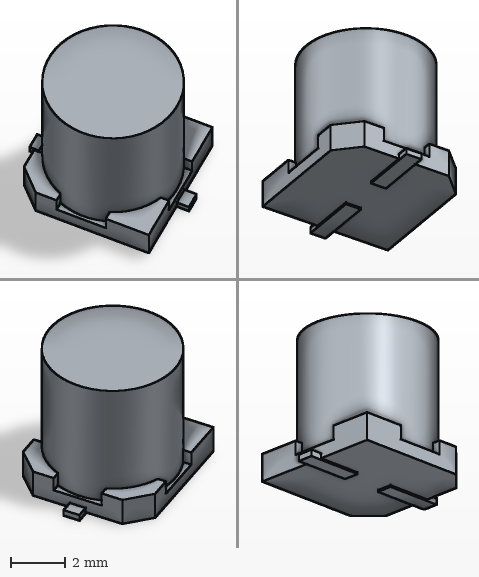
import cadquery as cq

overall_length = 6.5
overall_height = 5.69

base_width = 5.51
base_bottom = 0.06
base_top = 1.17
corner_chamfer = 0.9
notch_width = 2.0
notch_floor = 0.61

can_diameter = 5.23

lead_width = 0.66
lead_top = 0.26
lead_gap = 1.7
lead_length = (overall_length - lead_gap) / 2


def make_can():
    return (
        cq.Workplane("XY")
        .workplane(offset=notch_floor)
        .circle(can_diameter / 2)
        .extrude(overall_height - notch_floor)
    )


def make_lead(side):
    """Flat lead that sticks out at the -X (side = -1) or +X (side = 1) end."""
    center_x = side * (lead_gap + lead_length) / 2
    return (
        cq.Workplane("XY")
        .center(center_x, 0)
        .rect(lead_length, lead_width)
        .extrude(lead_top)
    )


def make_base(can, leads):
    base = (
        cq.Workplane("XY")
        .workplane(offset=base_bottom)
        .rect(base_width, base_width)
        .extrude(base_top - base_bottom)
        .edges("|Z and <X")
        .chamfer(corner_chamfer)
    )
    notch_height = base_top - notch_floor
    for size_x, size_y in ((base_width, notch_width), (notch_width, base_width)):
        notch = (
            cq.Workplane("XY")
            .workplane(offset=notch_floor)
            .rect(size_x, size_y)
            .extrude(notch_height)
        )
        base = base.cut(notch)
    base = base.cut(can)
    for lead in leads:
        base = base.cut(lead)
    return base


can = make_can()
leads = [make_lead(side) for side in (-1, 1)]
base = make_base(can, leads)

result = cq.Compound.makeCompound([base.val(), can.val(), *[lead.val() for lead in leads]])